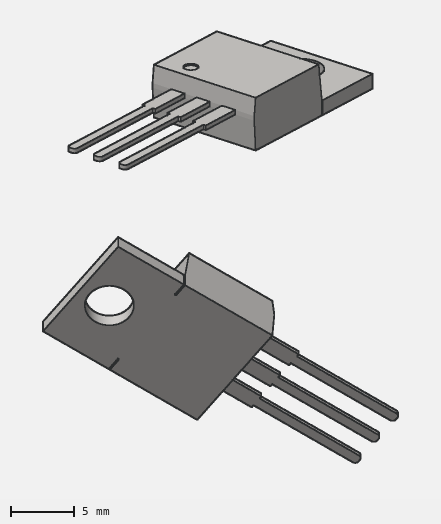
import cadquery as cq

width = 10.15
length = 28.7
height = 4.55

body_front = 13.63
body_rear = 22.25
front_draft = 0.17
rear_draft = 0.4

tab_thickness = 1.3
hole_diameter = 3.85
hole_y = 25.92
notch_depth = 1.23
notch_width = 0.11

lead_pitch = 2.53
lead_bottom = 2.65
lead_thickness = 0.4
shoulder_width = 1.32
shoulder_end = 9.9
pin_width = 0.83
tip_radius = 0.32
lead_embed = 0.3

dimple_diameter = 1.2
dimple_depth = 0.15
dimple_y = 15.27


def make_body():
    """Block with a sloped rear face and a front face drafted both ways from the leads."""
    lead_top = lead_bottom + lead_thickness
    side_profile = [
        (body_front + front_draft, 0),
        (body_rear, 0),
        (body_rear, tab_thickness),
        (body_rear - rear_draft, height),
        (body_front + front_draft, height),
        (body_front, lead_top),
        (body_front, lead_bottom),
    ]
    body = cq.Workplane("YZ").polyline(side_profile).close().extrude(width / 2, both=True)
    dimple = (
        cq.Workplane("XY", origin=(-lead_pitch, dimple_y, height - dimple_depth))
        .circle(dimple_diameter / 2)
        .extrude(dimple_depth)
    )
    return body.cut(dimple)


def make_tab():
    """Plate with a screw hole, joined to the body by a slightly narrower neck."""
    plate_start = body_rear + notch_width
    plate_length = length - plate_start
    plate = cq.Workplane("XY", origin=(0, plate_start + plate_length / 2, 0)).box(
        width, plate_length, tab_thickness, centered=(True, True, False)
    )
    neck = cq.Workplane("XY", origin=(0, body_rear, 0)).box(
        width - 2 * notch_depth, notch_width, tab_thickness, centered=(True, False, False)
    )
    hole = cq.Workplane("XY", origin=(0, hole_y, 0)).circle(hole_diameter / 2).extrude(tab_thickness)
    return plate.union(neck).cut(hole)


def make_lead(x):
    """Flat lead with a wide shoulder and a slim pin with rounded tip corners."""
    base = cq.Workplane("XY", origin=(x, 0, lead_bottom))
    pin = base.box(pin_width, shoulder_end, lead_thickness, centered=(True, False, False))
    pin = pin.faces("<Y").edges("|Z").fillet(tip_radius)
    shoulder_length = body_front + lead_embed - shoulder_end
    shoulder = base.center(0, shoulder_end).box(
        shoulder_width, shoulder_length, lead_thickness, centered=(True, False, False)
    )
    return pin.union(shoulder)


result = make_body().union(make_tab())
for position in (-1, 0, 1):
    result = result.union(make_lead(position * lead_pitch))